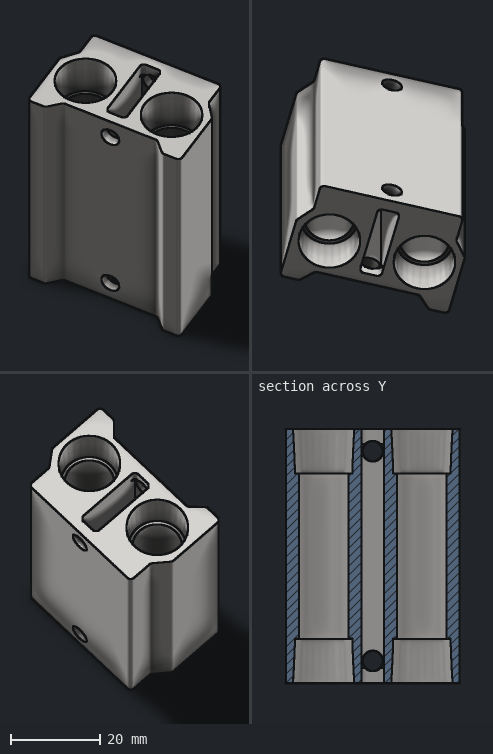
import cadquery as cq

height = 57.0
width = 39.0
depth = 25.0
edge_radius = 1.0

shoulder_inset = 3.0
shoulder_top = 6.25
shoulder_bottom = 10.1

foot_width = 4.5
channel_depth = 3.0

bore_spacing = 22.0
bore_y = 11.5
seat_mouth_diameter = 13.8
seat_floor_diameter = 12.9
seat_depth = 10.0
through_diameter = 11.2

slot_width = 5.0
slot_front = 5.5
slot_rear = 22.4
slot_radius = 1.0
slot_mouth_depth = 3.4

cross_hole_diameter = 4.5
cross_hole_end_distance = 5.0


def make_body():
    """Extrude the symmetric outline and round its lengthwise edges."""
    half = width / 2
    neck = half - shoulder_inset
    foot_inner = half - foot_width
    right_side = [
        (foot_inner - channel_depth, channel_depth),
        (foot_inner, 0),
        (half, 0),
        (half, depth - shoulder_bottom),
        (neck, depth - shoulder_top),
        (neck, depth),
    ]
    left_side = [(-x, y) for x, y in reversed(right_side)]
    outline = cq.Workplane("XY").polyline(right_side + left_side).close()
    return outline.extrude(height).edges("|Z").fillet(edge_radius)


def make_bore(x):
    """Return the cutter for one bore, revolved about its own vertical axis."""
    through_radius = through_diameter / 2
    floor_radius = seat_floor_diameter / 2
    mouth_radius = seat_mouth_diameter / 2
    upper_floor = height - seat_depth
    profile = [
        (0, 0),
        (mouth_radius, 0),
        (floor_radius, seat_depth),
        (through_radius, seat_depth),
        (through_radius, upper_floor),
        (floor_radius, upper_floor),
        (mouth_radius, height),
        (0, height),
    ]
    bore = cq.Workplane("XZ").polyline(profile).close().revolve(360, (0, 0, 0), (0, 1, 0))
    return bore.translate((x, bore_y, 0))


def make_slot():
    """Return the cutter for the slot: a rounded prism joined to a shorter square one."""
    slot_length = slot_rear - slot_front
    slot_y = slot_front + slot_length / 2
    middle_height = height - 2 * slot_mouth_depth
    rounded = cq.Workplane("XY").rect(slot_width, slot_length).extrude(height)
    rounded = rounded.edges("|Z").fillet(slot_radius)
    square = cq.Workplane("XY", origin=(0, 0, slot_mouth_depth))
    square = square.rect(slot_width, slot_length).extrude(middle_height)
    return rounded.union(square).translate((0, slot_y, 0))


def make_cross_hole(z):
    """Return the cutter for one hole along Y."""
    return cq.Workplane("XZ").center(0, z).circle(cross_hole_diameter / 2).extrude(-depth)


result = make_body().cut(make_slot())
for bore_x in (-bore_spacing / 2, bore_spacing / 2):
    result = result.cut(make_bore(bore_x))
for hole_z in (cross_hole_end_distance, height - cross_hole_end_distance):
    result = result.cut(make_cross_hole(hole_z))